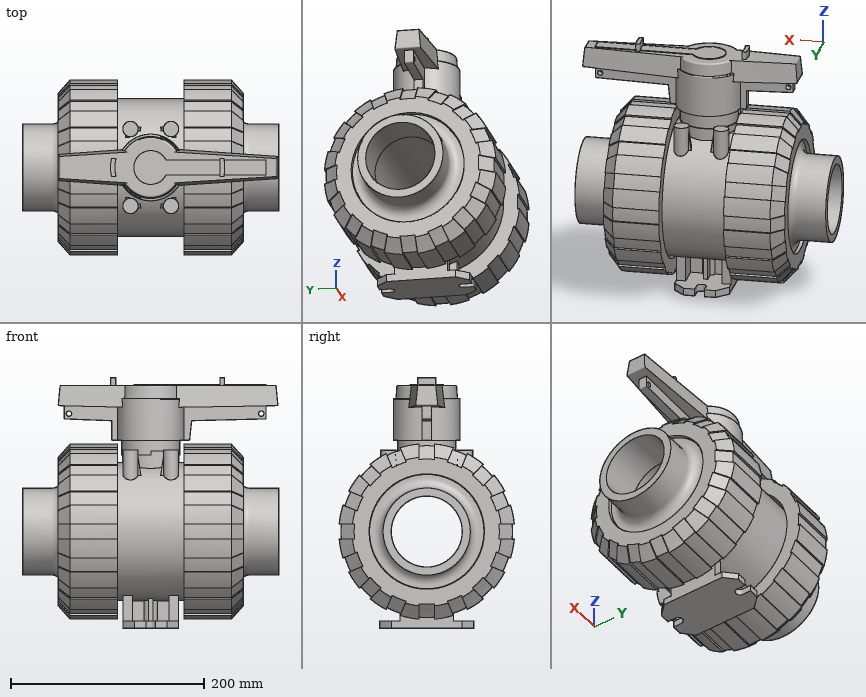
import cadquery as cq
import math


half_length = 132.8
bore_radius = 36.6
pipe_radius = 45.1
flare_radius = 10.0
flare_start = 102.2
flange_radius = 59.2
flange_back = flare_start - flare_radius
joint_plane = 85.5

nut_outer_face = 95.8
nut_inner_face = 34.2
nut_cone_start = 83.4
tooth_radius = 91.0
tooth_face_radius = 77.3
groove_floor_depth = 2.0
groove_width = 15.7
groove_count = 16
nut_mouth_radius = 59.7
nut_cavity_radius = 74.3

body_radius = 71.7
neck_radius = 29.2
collar_radius = 30.3
collar_bottom = 79.0
collar_notch_top = 83.5
handle_bottom = 94.5

post_radius = 8.0
post_x = 21.0
post_y = 39.8
post_top = 84.5
rib_width = 4.0
rib_top = 79.6
rib_foot = 50.5
rib_top_reach = 7.5
rib_x_reach = 12.0
rib_y_reach = 10.4
rib_y_offset = 3.2

foot_bottom = -100.0
foot_plate_top = -92.5
foot_half_x = 29.0
foot_half_y = 48.9
foot_corner = 12.2
slot_radius = 5.0
slot_centre_y = 39.0
leg_width = 9.8
leg_half_y = 28.0
web_thickness = 4.5
cross_web_half_y = 18.9
foot_boss_radius = 7.2

hub_radius = 34.5
hub_shoulder = 138.0
hub_shoulder_round = 1.0
cap_base_radius = 32.0
cap_top_radius = 31.0
cap_round = 1.9
arm_top = 151.3
arm_end_bottom = 130.4
arm_root_bottom = 128.2
arm_end_round = 1.3
arm_bottom_outline = {"left": -96.0, "left_half": 13.8, "root_half": 20.7, "right": 132.0, "right_half": 11.7}
arm_top_outline = {"left": -94.0, "left_half": 11.5, "root_half": 17.5, "right": 129.8, "right_half": 9.3}

fin_thickness = 9.5
fin_left = -89.7
fin_right = 119.5
fin_root_top = 132.8
fin_end_bottom = 116.5
fin_root_bottom = 114.7
fin_hole_radius = 2.7
fin_hole_inset = 5.0
fin_hole_z = 122.0
wing_left = -40.5
wing_right_top = 42.5
wing_right_bottom = 40.4
fin_corner_round = 1.3

pad_height = 0.8
pad_radius = 17.5
pad_bar_half_width = 7.7
pad_bar_end = 119.5
stop_top = 159.3
stop_thickness = 4.5
stop_half_width = 9.5
stop_corner_round = 1.0
left_stop_radius = 37.2
right_stop_radius = 72.0


def cylinder(radius, bottom, top, x=0.0, y=0.0):
    """Upright cylinder between two heights."""
    return cq.Workplane("XY", origin=(x, y, bottom)).circle(radius).extrude(top - bottom)


def block(x_range, y_range, z_range):
    """Box between the given limits along each axis."""
    (x0, x1), (y0, y1), (z0, z1) = x_range, y_range, z_range
    return cq.Workplane("XY").box(x1 - x0, y1 - y0, z1 - z0, centered=False).translate((x0, y0, z0))


def revolve_about_flow_axis(profile):
    """Full turn about X of a closed profile drawn in the XY plane."""
    return profile.close().revolve(360, (0, 0, 0), (1, 0, 0))


def on_side(shape, side):
    """Keep a shape made for the +X end, or mirror it to the -X end."""
    return shape if side > 0 else shape.mirror("YZ")



def make_connector(side):
    """Pipe stub that flares into the flange held by the union nut."""
    diagonal = flare_radius * math.sqrt(0.5)
    flare_top = pipe_radius + flare_radius
    profile = (
        cq.Workplane("XY")
        .moveTo(half_length, bore_radius)
        .lineTo(half_length, pipe_radius)
        .lineTo(flare_start, pipe_radius)
        .threePointArc((flare_start - diagonal, flare_top - diagonal), (flange_back, flare_top))
        .lineTo(flange_back, flange_radius)
        .lineTo(joint_plane, flange_radius)
        .lineTo(joint_plane, bore_radius)
    )
    return on_side(revolve_about_flow_axis(profile), side)



def nut_blank(depth):
    """Plain nut whose outside lies a given depth below the tooth tips."""
    profile = (
        cq.Workplane("XY")
        .moveTo(nut_outer_face, nut_mouth_radius)
        .lineTo(nut_outer_face, tooth_face_radius - depth)
        .lineTo(nut_cone_start, tooth_radius - depth)
        .lineTo(nut_inner_face, tooth_radius - depth)
        .lineTo(nut_inner_face, nut_cavity_radius)
        .lineTo(joint_plane, nut_cavity_radius)
        .lineTo(joint_plane, nut_mouth_radius)
    )
    return revolve_about_flow_axis(profile)


def make_nut(side):
    """Union nut with straight grip grooves round its outside."""
    teeth = nut_blank(0)
    groove_bar = block(
        (nut_inner_face, nut_outer_face),
        (-groove_width / 2, groove_width / 2),
        (-tooth_radius, tooth_radius),
    )
    for index in range(groove_count // 2):
        teeth = teeth.cut(groove_bar.rotate((0, 0, 0), (1, 0, 0), index * 360 / groove_count))
    return on_side(nut_blank(groove_floor_depth).union(teeth), side)



def stem_neck():
    """Neck under the handle, with a collar whose lower edge is notched over a quarter turn."""
    neck = cylinder(neck_radius, 0, handle_bottom)
    collar = cylinder(collar_radius, collar_bottom, handle_bottom)
    notch = block((0, collar_radius), (-collar_radius, 0), (collar_bottom, collar_notch_top))
    return collar.cut(notch).union(neck)


def post_rib(reach, plane):
    """Thin rib that widens downwards, from the post axis out along the first axis of the plane."""
    return (
        cq.Workplane(plane)
        .polyline([(0, rib_top), (rib_top_reach, rib_top), (reach, rib_foot), (0, rib_foot)])
        .close()
        .extrude(rib_width / 2, both=True)
    )


def post():
    """Post at +X, +Y with one rib towards each of the two planes of symmetry."""
    upright = cylinder(post_radius, 0, post_top)
    x_rib = post_rib(rib_x_reach, "XZ").mirror("YZ")
    y_rib = post_rib(rib_y_reach, "YZ").mirror("XZ").translate((rib_y_offset, 0, 0))
    return upright.union(x_rib).union(y_rib).translate((post_x, post_y, 0))


def foot():
    """Slotted mounting plate on an I-shaped pedestal."""
    plate = (
        block((-foot_half_x, foot_half_x), (-foot_half_y, foot_half_y), (foot_bottom, foot_plate_top))
        .edges("|Z")
        .chamfer(foot_corner)
    )
    for side in (1, -1):
        slot_end = cylinder(slot_radius, foot_bottom, foot_plate_top, 0, side * slot_centre_y)
        slot_y = sorted((side * slot_centre_y, side * foot_half_y))
        slot = block((-slot_radius, slot_radius), slot_y, (foot_bottom, foot_plate_top))
        plate = plate.cut(slot_end).cut(slot)

    height = (foot_plate_top, 0)
    half_web = web_thickness / 2
    pedestal = cylinder(foot_boss_radius, *height)
    pedestal = pedestal.union(block((-foot_half_x, foot_half_x), (-half_web, half_web), height))
    pedestal = pedestal.union(block((-half_web, half_web), (-cross_web_half_y, cross_web_half_y), height))
    leg = block((foot_half_x - leg_width, foot_half_x), (-leg_half_y, leg_half_y), height)
    return plate.union(pedestal).union(leg).union(leg.mirror("YZ"))


def make_body():
    """Barrel with stem neck, four posts and mounting foot, bored through along X."""
    body = cq.Workplane("YZ").circle(body_radius).extrude(joint_plane, both=True)
    body = body.union(stem_neck()).union(foot())
    right_rear = post()
    right_front = right_rear.mirror("XZ")
    for corner in (right_rear, right_front):
        body = body.union(corner).union(corner.mirror("YZ"))
    bore = cq.Workplane("YZ").circle(bore_radius).extrude(joint_plane, both=True)
    return body.cut(bore)



def arm_points(outline):
    """Six-sided outline of both arms, widest on the stem axis."""
    upper = [
        (outline["left"], outline["left_half"]),
        (0, outline["root_half"]),
        (outline["right"], outline["right_half"]),
    ]
    lower = [(x, -y) for x, y in reversed(upper)]
    return upper + lower


def arms():
    """Two arms with drafted sides and an underside that rises slightly towards both ends."""
    bars = (
        cq.Workplane("XY", origin=(0, 0, arm_root_bottom))
        .polyline(arm_points(arm_bottom_outline))
        .close()
        .workplane(offset=arm_top - arm_root_bottom)
        .polyline(arm_points(arm_top_outline))
        .close()
        .loft(ruled=True)
    )
    for selector in ("<X", ">X"):
        bars = bars.faces(">Z").edges(selector).fillet(arm_end_round)

    left = arm_bottom_outline["left"]
    right = arm_bottom_outline["right"]
    left_wedge = [(left, arm_root_bottom), (left, arm_end_bottom), (0, arm_root_bottom)]
    right_wedge = [(right, arm_root_bottom), (right, arm_end_bottom), (0, arm_root_bottom)]
    for wedge in (left_wedge, right_wedge):
        bars = bars.cut(cq.Workplane("XZ").polyline(wedge).close().extrude(hub_radius, both=True))
    for selector in ("<X", ">X"):
        bars = bars.edges(selector).fillet(arm_end_round)
    return bars


def hub():
    """Round hub with a narrower, slightly tapered cap."""
    skirt = cylinder(hub_radius, handle_bottom, hub_shoulder).faces(">Z").edges().fillet(hub_shoulder_round)
    cap = (
        cq.Workplane("XY", origin=(0, 0, hub_shoulder))
        .circle(cap_base_radius)
        .workplane(offset=arm_top - hub_shoulder)
        .circle(cap_top_radius)
        .loft()
        .faces(">Z")
        .edges()
        .fillet(cap_round)
    )
    return skirt.union(cap)


def fin():
    """Central fin under the arms, deeper beside the hub, with a hole near each end."""
    outline = [
        (fin_left, fin_root_top),
        (fin_left, fin_end_bottom),
        (wing_left, fin_root_bottom),
        (wing_left, handle_bottom),
        (wing_right_bottom, handle_bottom),
        (wing_right_top, fin_root_bottom),
        (fin_right, fin_end_bottom),
        (fin_right, fin_root_top),
    ]
    holes = [(fin_left + fin_hole_inset, fin_hole_z), (fin_right - fin_hole_inset, fin_hole_z)]
    plate = cq.Workplane("XZ").polyline(outline).close().extrude(fin_thickness / 2, both=True)
    drills = cq.Workplane("XZ").pushPoints(holes).circle(fin_hole_radius).extrude(fin_thickness, both=True)
    lower_corners = cq.selectors.BoxSelector(
        (fin_left, -fin_thickness, handle_bottom - fin_corner_round),
        (fin_right, fin_thickness, handle_bottom + fin_corner_round),
    )
    end_corners = [
        cq.selectors.NearestToPointSelector((x, 0, fin_end_bottom)) for x in (fin_left, fin_right)
    ]
    for corner in (lower_corners, *end_corners):
        plate = plate.edges("|Y").edges(corner).fillet(fin_corner_round)
    return plate.cut(drills)


def pad():
    """Thin raised disc with a bar along the right arm."""
    heights = (arm_top, arm_top + pad_height)
    disc = cylinder(pad_radius, *heights)
    return disc.union(block((0, pad_bar_end), (-pad_bar_half_width, pad_bar_half_width), heights))


def stop(radius, x_range):
    """Upright strip curved about the stem axis, on one side of it."""
    ring = cylinder(radius + stop_thickness, arm_top, stop_top).cut(cylinder(radius, arm_top, stop_top))
    strip = ring.intersect(block(x_range, (-stop_half_width, stop_half_width), (arm_top, stop_top)))
    return strip.edges("|Z").fillet(stop_corner_round)


def make_handle():
    """Two-armed handle with its hub, fin, pad and stops."""
    handle = hub().union(arms()).union(fin()).union(pad())
    handle = handle.union(stop(left_stop_radius, (-half_length, 0)))
    return handle.union(stop(right_stop_radius, (0, half_length)))


valve_body = make_body()
handle = make_handle()
nuts = [make_nut(side) for side in (-1, 1)]
connectors = [make_connector(side) for side in (-1, 1)]

result = cq.Compound.makeCompound(
    [valve_body.val(), handle.val()]
    + [nut.val() for nut in nuts]
    + [connector.val() for connector in connectors]
)